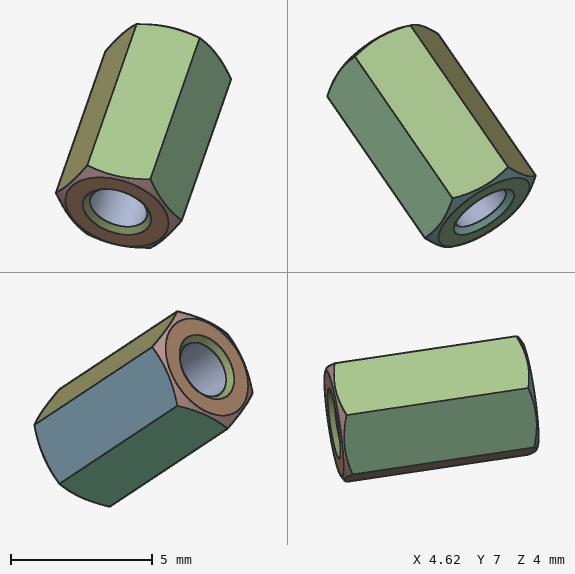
import cadquery as cq
import math

length = 7.0
across_flats = 4.0
across_corners = across_flats / math.cos(math.radians(30))

end_face_diameter = 3.78
corner_chamfer_angle = 30.0
corner_clearance = 0.07

bore_diameter = 2.1
countersink_diameter = 2.505
countersink_depth = (countersink_diameter - bore_diameter) / 2


def revolve_about_y(profile):
    """Revolve a closed (radius, y) outline around the Y axis."""
    return cq.Workplane("XY").polyline(profile).close().revolve(360, (0, 0, 0), (0, 1, 0))


def hexagonal_bar():
    """Bar with two corners on the X axis and flats facing up and down."""
    return cq.Workplane("XZ").polygon(6, across_corners).extrude(length / 2, both=True)


def chamfer_envelope():
    """Round bar with coned ends; it trims only the corners of the hexagon."""
    half_length = length / 2
    face_radius = end_face_diameter / 2
    outer_radius = across_corners / 2 + corner_clearance
    cone_height = (outer_radius - face_radius) * math.tan(math.radians(corner_chamfer_angle))
    shoulder = half_length - cone_height
    return revolve_about_y([
        (0, -half_length),
        (face_radius, -half_length),
        (outer_radius, -shoulder),
        (outer_radius, shoulder),
        (face_radius, half_length),
        (0, half_length),
    ])


def countersunk_bore():
    """Solid of the through bore, including both countersinks."""
    half_length = length / 2
    bore_radius = bore_diameter / 2
    mouth_radius = countersink_diameter / 2
    bore_end = half_length - countersink_depth
    return revolve_about_y([
        (0, -half_length),
        (mouth_radius, -half_length),
        (bore_radius, -bore_end),
        (bore_radius, bore_end),
        (mouth_radius, half_length),
        (0, half_length),
    ])


result = hexagonal_bar().intersect(chamfer_envelope()).cut(countersunk_bore())